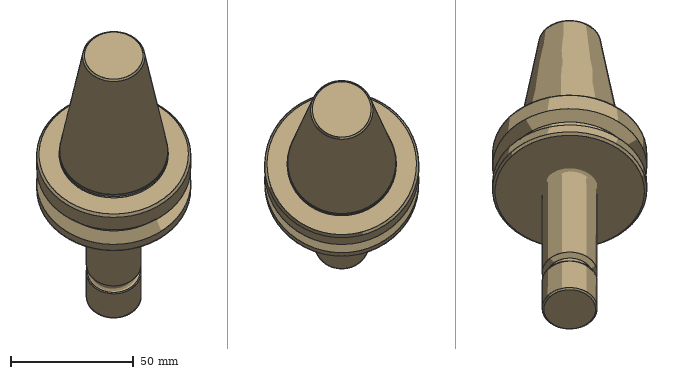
import cadquery as cq

total_height = 165.4
gauge_height = 100.0
flange_top = 97.9
flange_bottom = 73.1
groove_upper_edge = 88.5
groove_lower_edge = 78.4
neck_upper_edge = 22.7
nut_top = 17.2

flange_radius = 31.51
groove_radius = 26.6
gauge_radius = 22.2
collar_foot_radius = 22.3
shank_radius = 11.2
neck_radius = 9.3

taper_slope = 7 / 48
taper_tip_chamfer = 0.7
flange_chamfer = 1.0
groove_wall_height = 2.6
collar_relief_depth = 0.2
collar_relief_slope_height = 0.5
shank_fillet = 2.0
neck_cone_height = 1.5
neck_fillet = 1.5
nut_chamfer = 0.7

taper_tip_radius = gauge_radius - taper_slope * (total_height - gauge_height)
tip_chamfer_start = total_height - taper_tip_chamfer
tip_chamfer_radius = gauge_radius - taper_slope * (tip_chamfer_start - gauge_height)
collar_relief_radius = gauge_radius - collar_relief_depth
nut_shoulder = nut_top + nut_chamfer / 2

half_section = (
    cq.Workplane("XZ")
    .moveTo(0, 0)
    .lineTo(shank_radius - nut_chamfer, 0)
    .lineTo(shank_radius, nut_chamfer)
    .lineTo(shank_radius, nut_top)
    .lineTo(neck_radius + neck_fillet, nut_shoulder)
    .radiusArc((neck_radius, nut_shoulder + neck_fillet), neck_fillet)
    .lineTo(neck_radius, neck_upper_edge - neck_cone_height)
    .lineTo(shank_radius, neck_upper_edge)
    .lineTo(shank_radius, flange_bottom - shank_fillet)
    .radiusArc((shank_radius + shank_fillet, flange_bottom), shank_fillet)
    .lineTo(flange_radius - flange_chamfer, flange_bottom)
    .lineTo(flange_radius, flange_bottom + flange_chamfer)
    .lineTo(flange_radius, groove_lower_edge)
    .lineTo(groove_radius, groove_lower_edge + groove_wall_height)
    .lineTo(groove_radius, groove_upper_edge - groove_wall_height)
    .lineTo(flange_radius, groove_upper_edge)
    .lineTo(flange_radius, flange_top - flange_chamfer)
    .lineTo(flange_radius - flange_chamfer, flange_top)
    .lineTo(collar_foot_radius, flange_top)
    .lineTo(collar_relief_radius, flange_top + collar_relief_slope_height)
    .lineTo(collar_relief_radius, gauge_height - collar_relief_slope_height)
    .lineTo(gauge_radius, gauge_height)
    .lineTo(tip_chamfer_radius, tip_chamfer_start)
    .lineTo(taper_tip_radius - taper_tip_chamfer, total_height)
    .lineTo(0, total_height)
    .close()
)

result = half_section.revolve(360, (0, 0, 0), (0, 1, 0))